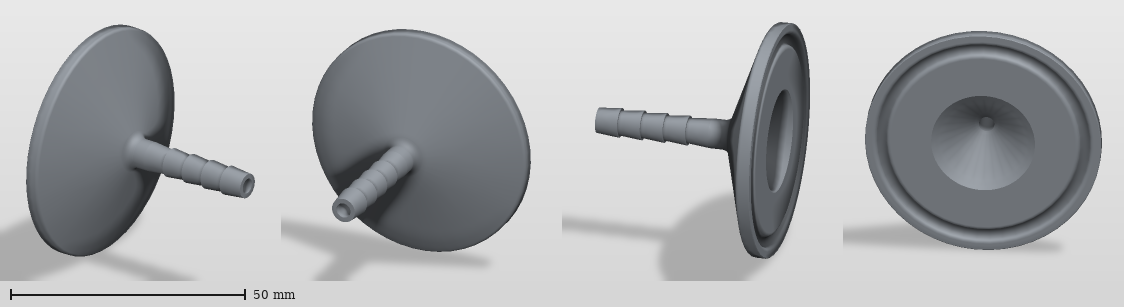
import cadquery as cq
import math


total_length = 40.0
flange_radius = 50.5 / 2

face_edge_chamfer = 0.15
rim_straight_end = 2.25
rim_fillet = 0.8
cone_angle = math.radians(20.0)

stem_radius = 3.2
neck_fillet = 2.0
barb_count = 5
barb_pitch = 5.0
barb_tip_radius = 2.7

bore_radius = 1.65
funnel_radius = 11.1
funnel_depth = 9.5

groove_center_radius = 21.75
groove_half_width = 2.0
groove_lip_fillet = 0.85
groove_bottom_radius = 1.15
groove_wall_lean = math.radians(25.0)


def arc_point(center, radius, angle):
    """Point on a circle at the given angle from the +X direction."""
    return (center[0] + radius * math.cos(angle), center[1] + radius * math.sin(angle))


def follow_arc(profile, center, radius, start, end):
    """Continue the profile along an arc that begins at its current point."""
    middle = arc_point(center, radius, (start + end) / 2)
    last = arc_point(center, radius, end)
    return profile.threePointArc(middle, last)


def add_arc(profile, center, radius, start, end):
    """Join the profile to an arc's start with a straight line, then follow the arc."""
    profile = profile.lineTo(*arc_point(center, radius, start))
    return follow_arc(profile, center, radius, start, end)


def revolve_about_x(profile):
    """Close a profile and turn it fully around the X axis."""
    return profile.close().revolve(360, (0, 0), (1, 0))


def make_body():
    """Solid flange, outer cone and barbed stem."""
    rim_center = (rim_straight_end, flange_radius - rim_fillet)
    cone_start = arc_point(rim_center, rim_fillet, cone_angle)
    neck_center_radius = stem_radius + neck_fillet
    neck_end_radius = neck_center_radius - neck_fillet * math.sin(cone_angle)
    neck_start_x = cone_start[0] + (cone_start[1] - neck_end_radius) * math.tan(cone_angle)
    neck_center = (neck_start_x + neck_fillet * math.cos(cone_angle), neck_center_radius)

    profile = (
        cq.Workplane("XZ")
        .lineTo(0, flange_radius - face_edge_chamfer)
        .lineTo(face_edge_chamfer, flange_radius)
    )
    profile = add_arc(profile, rim_center, rim_fillet, math.pi / 2, cone_angle)
    profile = add_arc(profile, neck_center, neck_fillet, math.pi + cone_angle, 1.5 * math.pi)

    barbs_start = total_length - barb_count * barb_pitch
    for index in range(barb_count):
        barb_start = barbs_start + index * barb_pitch
        profile = profile.lineTo(barb_start, stem_radius)
        profile = profile.lineTo(barb_start + barb_pitch, barb_tip_radius)
    profile = profile.lineTo(total_length, 0)
    return revolve_about_x(profile)


def make_bore():
    """Funnel from the sealing face into a straight through bore."""
    profile = (
        cq.Workplane("XZ")
        .lineTo(0, funnel_radius)
        .lineTo(funnel_depth, bore_radius)
        .lineTo(total_length, bore_radius)
        .lineTo(total_length, 0)
    )
    return revolve_about_x(profile)


def make_groove():
    """Round-bottomed ring groove with rounded lips and straight leaning walls."""
    tilt = groove_wall_lean
    outer_lip = (groove_lip_fillet, groove_center_radius + groove_half_width)
    inner_lip = (groove_lip_fillet, groove_center_radius - groove_half_width)

    radius_sum = groove_lip_fillet + groove_bottom_radius
    wall_length = (groove_half_width - radius_sum * math.cos(tilt)) / math.sin(tilt)
    bottom_x = groove_lip_fillet - radius_sum * math.sin(tilt) + wall_length * math.cos(tilt)
    bottom = (bottom_x, groove_center_radius)

    profile = cq.Workplane("XZ").moveTo(0, outer_lip[1])
    profile = follow_arc(profile, outer_lip, groove_lip_fillet, math.pi, 1.5 * math.pi - tilt)
    profile = add_arc(profile, bottom, groove_bottom_radius, math.pi / 2 - tilt, tilt - math.pi / 2)
    profile = add_arc(profile, inner_lip, groove_lip_fillet, math.pi / 2 + tilt, math.pi)
    return revolve_about_x(profile)


result = make_body().cut(make_bore()).cut(make_groove())